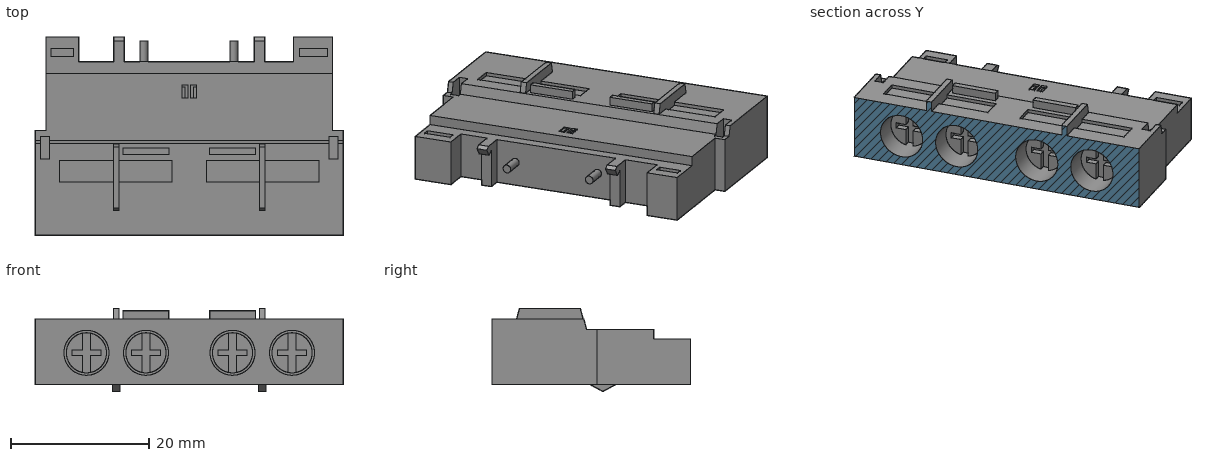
import cadquery as cq


front_width = 44.5
rear_width = 41.4
body_length = 28.68
shoulder_y = 15.15
front_top_z = 9.5
middle_top_z = 8.0
rear_top_z = 6.6
middle_end_y = 23.37
slope_top_y = 13.28
slope_foot_y = 13.68
slope_run_per_height = (slope_foot_y - slope_top_y) / (front_top_z - middle_top_z)

bay_wall_y = 25.08
left_tab_inner_x = -15.95
right_tab_inner_x = 15.05

tab_slot_y = (25.85, 26.95)
tab_slot_depth = 2.0
left_tab_slot_x = (-20.0, -16.7)
right_tab_slot_x = (15.95, 20.0)

bore_centres_x = (-14.85, -6.25, 6.25, 14.85)
bore_centre_z = 4.6
bore_radius = 3.25
bore_depth = 10.0
screw_radius = 2.9
screw_height = 2.0
screw_slot_depth = 1.0
screw_slot_width = 1.15
cross_slot_length = 4.15
cross_slot_width = 0.8

rib_centre_x = 10.55
rib_width = 0.85
rib_top_z = 11.0
rib_front_y = 3.55
rib_back_y = 13.18
window_x = (2.5, 18.75)
window_y = (7.7, 10.8)
window_depth = 0.5
stop_x = (2.95, 9.6)
stop_y = (11.65, 12.6)
stop_top_z = 10.7
end_pocket_x = (20.2, 21.5)
end_pocket_y = (11.05, 14.3)
end_pocket_floor_z = 6.5
recess_x = (0.17, 1.05)
recess_y = (19.85, 21.7)
recess_depth = 0.3
recess_step_inner_x = 0.6
recess_step_end_y = 21.4
recess_step_depth = 0.15
wedge_width = 1.1
wedge_y = (14.17, 17.87)
wedge_drop = 1.0

hook_centre_x = 10.15
hook_width = 1.55
hook_stem_y = 27.05
hook_nose_chamfer_y = 0.6
hook_nose_chamfer_z = 0.4
hook_heel_z = 5.6
hook_barb_y = 27.9
hook_barb_z = 5.15
pin_centres_xz = ((-6.55, 3.85), (6.45, 3.55))
pin_radius = 0.6
pin_end_y = 28.1
pin_root = 1.0


def block(x_range, y_range, z_range):
    """Box between the given limits on each axis, in any order."""
    low = [min(limits) for limits in (x_range, y_range, z_range)]
    size = [abs(limits[1] - limits[0]) for limits in (x_range, y_range, z_range)]
    return cq.Workplane("XY").box(*size, centered=False).translate(tuple(low))


def side_prism(points_yz, width, centre_x):
    """Prism along X from a closed outline in the YZ plane."""
    prism = cq.Workplane("YZ").polyline(points_yz).close().extrude(width / 2, both=True)
    return prism.translate((centre_x, 0, 0))


def on_side(x_range, side):
    """X limits on the right (side = 1) or mirrored to the left (side = -1)."""
    return tuple(side * x for x in x_range)


def make_body():
    profile = [
        (0, 0),
        (0, front_top_z),
        (slope_top_y, front_top_z),
        (slope_foot_y, middle_top_z),
        (middle_end_y, middle_top_z),
        (middle_end_y, rear_top_z),
        (body_length, rear_top_z),
        (body_length, 0),
    ]
    body = side_prism(profile, front_width, 0)
    for side in (-1, 1):
        flank_x = on_side((rear_width / 2, front_width / 2), side)
        body = body.cut(block(flank_x, (shoulder_y, body_length), (0, front_top_z)))
    bay_x = (left_tab_inner_x, right_tab_inner_x)
    body = body.cut(block(bay_x, (bay_wall_y, body_length), (0, rear_top_z)))
    for slot_x in (left_tab_slot_x, right_tab_slot_x):
        body = body.cut(block(slot_x, tab_slot_y, (rear_top_z - tab_slot_depth, rear_top_z)))
    return body


def rod(centre_x, centre_z, radius, y_range):
    """Cylinder along Y between the given limits."""
    length = y_range[1] - y_range[0]
    disc = cq.Workplane("XZ").circle(radius).extrude(-length)
    return disc.translate((centre_x, y_range[0], centre_z))


def make_bore(centre_x):
    """Space to remove for one bore, leaving the screw standing on its floor."""
    head_y = bore_depth - screw_height
    slot_y = (head_y, head_y + screw_slot_depth)
    screw = rod(centre_x, bore_centre_z, screw_radius, (head_y, bore_depth))
    for length, height in ((screw_slot_width, 2 * screw_radius), (cross_slot_length, cross_slot_width)):
        slot_x = (centre_x - length / 2, centre_x + length / 2)
        slot_z = (bore_centre_z - height / 2, bore_centre_z + height / 2)
        screw = screw.cut(block(slot_x, slot_y, slot_z))
    return rod(centre_x, bore_centre_z, bore_radius, (0, bore_depth)).cut(screw)


def make_rib(side):
    """Thin rib with sloping ends, reaching down to the floor of the window it crosses."""
    end_run = slope_run_per_height * (rib_top_z - front_top_z)
    profile = [
        (rib_front_y, front_top_z),
        (rib_front_y + end_run, rib_top_z),
        (rib_back_y - end_run, rib_top_z),
        (rib_back_y, front_top_z),
        (window_y[1], front_top_z),
        (window_y[1], front_top_z - window_depth),
        (window_y[0], front_top_z - window_depth),
        (window_y[0], front_top_z),
    ]
    return side_prism(profile, rib_width, side * rib_centre_x)


def make_wedge(side):
    """Pointed latch under the body."""
    profile = [(wedge_y[0], 0), (sum(wedge_y) / 2, -wedge_drop), (wedge_y[1], 0)]
    return side_prism(profile, wedge_width, side * rib_centre_x)


def make_hook(side):
    """Upright stem on the bay wall with a barbed nose at the top."""
    profile = [
        (bay_wall_y, 0),
        (bay_wall_y, rear_top_z),
        (body_length - hook_nose_chamfer_y, rear_top_z),
        (body_length, rear_top_z - hook_nose_chamfer_z),
        (hook_barb_y, hook_barb_z),
        (hook_stem_y, hook_heel_z),
        (hook_stem_y, 0),
    ]
    return side_prism(profile, hook_width, side * hook_centre_x)


def cut_top_pockets(part, side):
    """Cut the shallow window and the end pocket that straddles the slope."""
    window_z = (front_top_z - window_depth, front_top_z)
    end_pocket_z = (end_pocket_floor_z, front_top_z)
    part = part.cut(block(on_side(window_x, side), window_y, window_z))
    return part.cut(block(on_side(end_pocket_x, side), end_pocket_y, end_pocket_z))


def cut_centre_recess(part, side):
    """Cut the small recess beside the centre plane, leaving a raised step on its outer part."""
    recess_z = (middle_top_z - recess_depth, middle_top_z)
    step_z = (middle_top_z - recess_depth, middle_top_z - recess_step_depth)
    recess = block(on_side(recess_x, side), recess_y, recess_z)
    step_x = (recess_step_inner_x, recess_x[1])
    step_y = (recess_y[0], recess_step_end_y)
    return part.cut(recess.cut(block(on_side(step_x, side), step_y, step_z)))


def make_stop(side):
    """Low upright bar behind the window."""
    return block(on_side(stop_x, side), stop_y, (front_top_z, stop_top_z))


def make_pin(centre_x, centre_z):
    """Round contact pin, with its root sunk into the bay wall."""
    return rod(centre_x, centre_z, pin_radius, (bay_wall_y - pin_root, pin_end_y))


result = make_body()
for bore_x in bore_centres_x:
    result = result.cut(make_bore(bore_x))
for side in (-1, 1):
    result = cut_top_pockets(result, side)
    result = cut_centre_recess(result, side)
    for make_feature in (make_stop, make_rib, make_wedge, make_hook):
        result = result.union(make_feature(side))
for pin_x, pin_z in pin_centres_xz:
    result = result.union(make_pin(pin_x, pin_z))